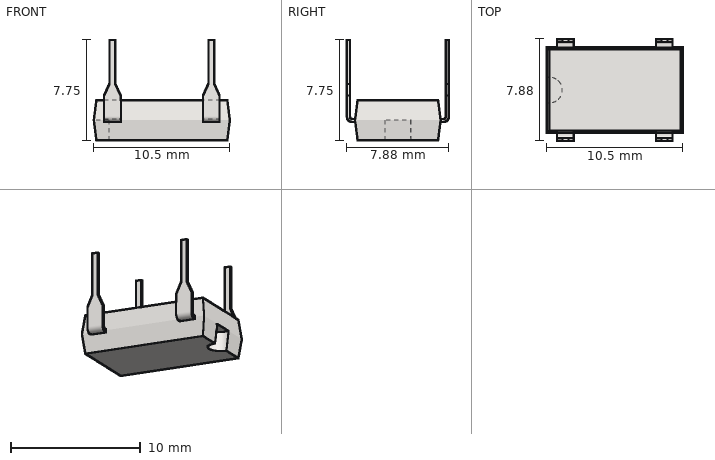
import cadquery as cq

body_length = 10.5
body_width = 6.62
half_height = 1.55
draft_inset = 0.2
parting_z = half_height

notch_radius = 1.0
notch_centre_x = draft_inset - body_length / 2

lead_span = 7.88
lead_pitch = 7.62
lead_thickness = 0.25
lead_bend_radius = 0.42
lead_wide = 1.3
lead_narrow = 0.46
taper_start_z = 3.44
taper_end_z = 4.36
lead_top_z = 7.75
lead_bottom_z = 1.41
lead_embed = 0.21


def body_half(direction):
    """Tapered half body; direction is +1 for upward, -1 for downward."""
    return (
        cq.Workplane("XY", origin=(0, 0, parting_z))
        .rect(body_length, body_width)
        .workplane(offset=direction * half_height)
        .rect(body_length - 2 * draft_inset, body_width - 2 * draft_inset)
        .loft(ruled=True)
    )


def lead(x, side):
    """Lead centred on x; side is +1 for the +Y face, -1 for the -Y face."""
    outer_y = side * lead_span / 2
    inner_y = outer_y - side * lead_thickness
    root_y = side * (body_width / 2 - lead_embed)
    bend_y = outer_y - side * lead_bend_radius
    bend_z = lead_bottom_z + lead_bend_radius
    inner_radius = lead_bend_radius - lead_thickness
    diagonal = 0.5 ** 0.5
    bent_strip = (
        cq.Workplane("YZ", origin=(x - lead_wide / 2, 0, 0))
        .moveTo(root_y, lead_bottom_z)
        .lineTo(bend_y, lead_bottom_z)
        .threePointArc(
            (bend_y + side * lead_bend_radius * diagonal, bend_z - lead_bend_radius * diagonal),
            (outer_y, bend_z),
        )
        .lineTo(outer_y, lead_top_z)
        .lineTo(inner_y, lead_top_z)
        .lineTo(inner_y, bend_z)
        .threePointArc(
            (bend_y + side * inner_radius * diagonal, bend_z - inner_radius * diagonal),
            (bend_y, lead_bottom_z + lead_thickness),
        )
        .lineTo(root_y, lead_bottom_z + lead_thickness)
        .close()
        .extrude(lead_wide)
    )
    face_outline = (
        cq.Workplane("XZ", origin=(x, 0, 0))
        .polyline([
            (-lead_wide / 2, 0),
            (lead_wide / 2, 0),
            (lead_wide / 2, taper_start_z),
            (lead_narrow / 2, taper_end_z),
            (lead_narrow / 2, lead_top_z),
            (-lead_narrow / 2, lead_top_z),
            (-lead_narrow / 2, taper_end_z),
            (-lead_wide / 2, taper_start_z),
        ])
        .close()
        .extrude(lead_span, both=True)
    )
    return bent_strip.intersect(face_outline)


notch = (
    cq.Workplane("XY")
    .center(notch_centre_x, 0)
    .circle(notch_radius)
    .extrude(parting_z)
)

result = body_half(1).union(body_half(-1)).cut(notch)
for lead_x in (-lead_pitch / 2, lead_pitch / 2):
    for lead_side in (-1, 1):
        result = result.union(lead(lead_x, lead_side))